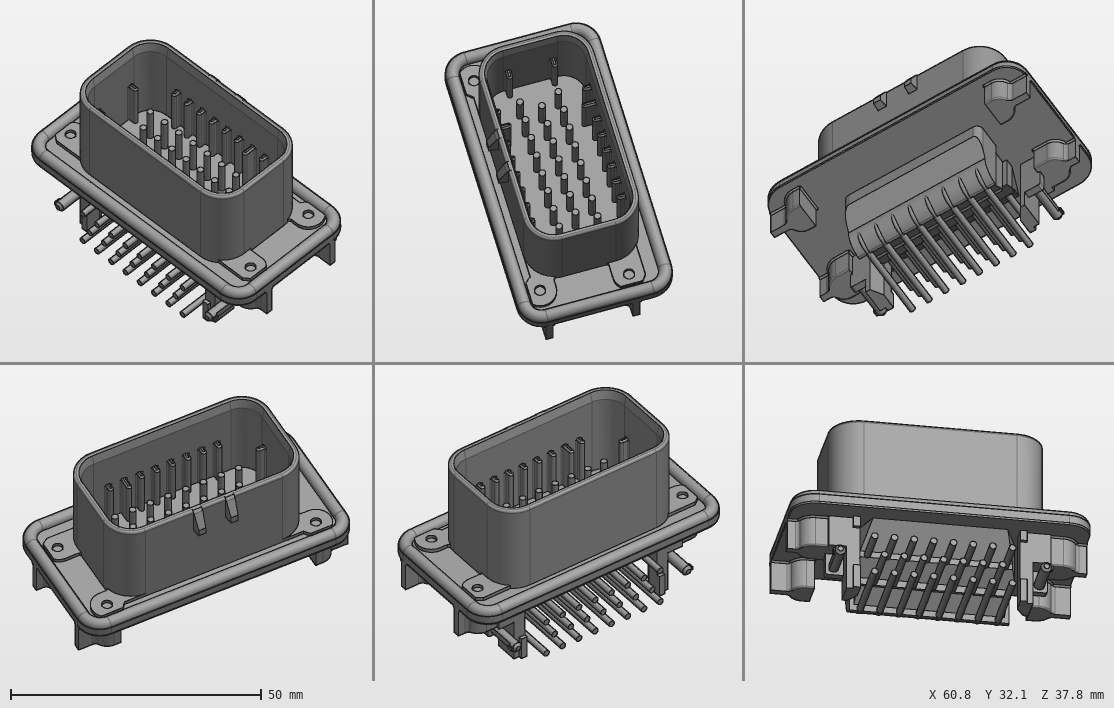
import cadquery as cq
import math

TOTAL_HEIGHT = 37.8
FLANGE_X = 60.8
FLANGE_Y = 32.1
FLANGE_CORNER = 5.05
FLANGE_BOTTOM = -3.4
FLANGE_EDGE_CHAMFER = 0.35
FLANGE_EDGE_INSET = 0.1
FLANGE_FLOOR = -1.35

RIM_RADIUS = 1.35
RIM_INSET = 0.1

SHROUD_X = 43.4
SHROUD_Y = 23.6
SHROUD_CORNER = 6.2
SHROUD_TOP = 18.5
SHROUD_WALL = 1.6
SHROUD_TOP_ROUND = 0.55
MOUTH_FLARE = 0.5
MOUTH_DEPTH = 2.05
CAVITY_FLOOR = -1.35

KEY_RIB_WIDTH = 1.1
KEY_RIB_ROOT_FILLET = 0.3
KEY_RIB_TOP = 8.8
KEY_RIB_CHAMFER = 0.35
KEY_RIB_COUNT = 8
KEY_RIB_ROW_LENGTH = 24.5
KEY_RIB_PITCH = KEY_RIB_ROW_LENGTH / (KEY_RIB_COUNT - 1)
LONG_KEY_RIB_INDEX = 6
SIDE_KEY_RIB_DEPTH = 1.65
LONG_KEY_RIB_DEPTH = 2.85
END_KEY_RIB_DEPTH = 1.8
END_KEY_RIB_Y = 4.7

PIN_RADIUS = 0.65
PIN_TOP = 6.1
PIN_TIP_Y = -15.3
PIN_BEND_RADIUS = 3.05
PINS_PER_ROW = (8, 7, 8)
PIN_ROW_LENGTH = 27.95
PIN_PITCH = PIN_ROW_LENGTH / (max(PINS_PER_ROW) - 1)
FIRST_PIN_ROW_Z = -9.35

LATCH_X = 3.65
LATCH_REACH = 1.95
LATCH_ROOT_WIDTH = 2.0
LATCH_TIP_WIDTH = 1.6
LATCH_STEP_Z = 14.5
LATCH_SHOULDER = 0.3
LATCH_SHOULDER_Z = 17.9
LATCH_CREST_Y = 11.55
LATCH_BOTTOM = 12.9

PAD_TOP = -0.55
PAD_NECK_X = 22.0
REAR_PAD_RADIUS = 3.35
REAR_PAD_BACK_Y = 13.0
REAR_PAD_SHOULDER_X = 21.2
REAR_PAD_SHOULDER_RUN = 1.05
REAR_PAD_NECK_RUN = 1.05
FRONT_PAD_OUTER_X = 27.3
FRONT_PAD_FRONT_Y = -10.45
FRONT_PAD_BACK_Y = -4.0
FRONT_PAD_BEVEL_X = 1.3
FRONT_PAD_BEVEL_Y = 1.0
FRONT_PAD_ARC_X = 2.1
FRONT_PAD_ARC_RADIUS = 2.85
FRONT_PAD_NECK_RUN = 0.5

HOLE_RADIUS = 1.1
HOLE_DEPTH = 0.7
REAR_POST = (23.6, 10.75)
FRONT_POST = (25.2, -7.3)
POST_RADIUS = 3.05
POST_BOTTOM = -10.0
POST_FILLET = 1.0
POST_EDGE_FILLET = 0.3
POST_COLLAR = 0.35
POST_TAIL_X = PAD_NECK_X
POST_RIB_WIDTH = 1.45

BODY_HALF_X = 16.25
BODY_BACK_Y = 6.95
BODY_BACK_CORNER = 1.45
BODY_FRONT_Y = -11.7
BODY_FRONT_HALF_X = 13.7
BODY_TAPER_Y = -5.1
BODY_BOTTOM = -17.95
BACK_SLOPE_TOP = -7.0
BACK_CURVE_START = (4.75, -13.4)
BACK_CURVE_MIDDLE = (3.65, -16.65)
BACK_CURVE_END_Y = 1.35
STEP_HALF_X = 15.25
LOW_STEP_Y = 0.8
LOW_STEP_TOP = -16.6
MIDDLE_STEP_Y = -3.2
MIDDLE_STEP_BOTTOM = -14.05
MIDDLE_STEP_TOP = -12.6
MIDDLE_STEP_LEDGE = 0.6
HIGH_STEP_Y = -7.05
HIGH_STEP_BOTTOM = -9.9
HIGH_STEP_TOP = -8.65

BLADE_BACK_Y = -5.65
BLADE_FRONT_Y = -11.0
BLADE_OUTER_X = 18.9
BLADE_BOTTOM = SHROUD_TOP - TOTAL_HEIGHT
BRACKET_OUTER_X = 22.55
TAB_FRONT_Y = -7.2
TAB_BOTTOM = -14.6
TAB_CORNER = 0.5
BLADE_BEVEL_X = 1.65
BLADE_BEVEL_Y = 2.55
LIP_OUTER_X = 17.65
LIP_FRONT_Y = -11.8
UPPER_LIP_BOTTOM = -5.6
LOWER_LIP_TOP = -14.35

PEG_X = 20.9
PEG_Z = -12.9
PEG_RADIUS = 1.1
PEG_TIP_CHAMFER = 0.55
PEG_FLAT_X = 0.85
PEG_BARB_WIDTH = 0.7
PEG_BARB_REACH = 1.35
PEG_BARB_START_Y = -13.6
PEG_BARB_END_Y = -14.9


def box(x_range, y_range, z_range):
    """Axis-aligned block between the given limits."""
    size = [abs(r[1] - r[0]) for r in (x_range, y_range, z_range)]
    corner = tuple(min(r) for r in (x_range, y_range, z_range))
    return cq.Workplane("XY").box(*size, centered=False).translate(corner)


def rounded_block(size_x, size_y, corner, z_bottom, z_top):
    """Centred upright block with rounded vertical edges."""
    block = cq.Workplane("XY").workplane(offset=z_bottom).rect(size_x, size_y).extrude(z_top - z_bottom)
    return block.edges("|Z").fillet(corner)


def both_sides(solid):
    """The solid together with its mirror image across the YZ plane."""
    return solid.union(solid.mirror("YZ"))


def flange():
    """Plate with a half-round bead standing up along its edge."""
    plate = rounded_block(FLANGE_X, FLANGE_Y, FLANGE_CORNER, FLANGE_BOTTOM, FLANGE_FLOOR)
    plate = plate.faces("<Z").edges().chamfer(FLANGE_EDGE_CHAMFER, FLANGE_EDGE_INSET)
    inset = RIM_INSET + RIM_RADIUS
    guide = rounded_block(FLANGE_X - 2 * inset, FLANGE_Y - 2 * inset, FLANGE_CORNER - inset,
                          FLANGE_FLOOR, 0)
    path = cq.Workplane(guide.faces("<Z").wires().val())
    bead = cq.Workplane("XZ", (inset - FLANGE_X / 2, 0, FLANGE_FLOOR)).circle(RIM_RADIUS).sweep(path)
    return plate.union(bead)


def shroud():
    """Solid outer form of the mating shroud with a rounded top edge."""
    wall = rounded_block(SHROUD_X, SHROUD_Y, SHROUD_CORNER, FLANGE_FLOOR, SHROUD_TOP)
    return wall.faces(">Z").edges().fillet(SHROUD_TOP_ROUND)


def shroud_cavity():
    """Inner space of the shroud, flared at the mouth."""
    inner_x = SHROUD_X - 2 * SHROUD_WALL
    inner_y = SHROUD_Y - 2 * SHROUD_WALL
    inner_corner = SHROUD_CORNER - SHROUD_WALL
    bore = rounded_block(inner_x, inner_y, inner_corner, CAVITY_FLOOR, SHROUD_TOP)
    flare_angle = math.degrees(math.atan2(MOUTH_FLARE, MOUTH_DEPTH))
    mouth = (
        bore.faces(">Z").wires().toPending().workplane().offset2D(MOUTH_FLARE)
        .extrude(-MOUTH_DEPTH, taper=flare_angle, combine=False)
    )
    return bore.union(mouth)


def key_rib(depth):
    """Upright rib reaching +Y from a wall at Y = 0, with a round nose and a bevelled top."""
    embed = SHROUD_WALL / 2
    half = KEY_RIB_WIDTH / 2
    root = KEY_RIB_ROOT_FILLET
    rib = (
        cq.Workplane("XY", (0, 0, CAVITY_FLOOR))
        .moveTo(-half - root, -embed)
        .lineTo(-half - root, 0)
        .radiusArc((-half, root), -root)
        .lineTo(-half, depth - half)
        .threePointArc((0, depth), (half, depth - half))
        .lineTo(half, root)
        .radiusArc((half + root, 0), -root)
        .lineTo(half + root, -embed)
        .close()
        .extrude(KEY_RIB_TOP - CAVITY_FLOOR)
    )
    flanks_and_nose = cq.selectors.BoxSelector((-2 * half, 2 * root, 0),
                                               (2 * half, 2 * depth, 2 * KEY_RIB_TOP))
    return rib.faces(">Z").edges(flanks_and_nose).chamfer(KEY_RIB_CHAMFER)


def key_ribs():
    """Ribs along the long walls, one of them longer, and two on each end wall."""
    inner_half_x = SHROUD_X / 2 - SHROUD_WALL
    inner_half_y = SHROUD_Y / 2 - SHROUD_WALL
    ribs = cq.Workplane("XY")
    for index in range(KEY_RIB_COUNT):
        x = (index - (KEY_RIB_COUNT - 1) / 2) * KEY_RIB_PITCH
        depth = LONG_KEY_RIB_DEPTH if index == LONG_KEY_RIB_INDEX else SIDE_KEY_RIB_DEPTH
        rib = key_rib(depth).translate((x, -inner_half_y, 0))
        ribs = ribs.union(rib).union(rib.mirror("XZ"))
    for y in (-END_KEY_RIB_Y, END_KEY_RIB_Y):
        rib = key_rib(END_KEY_RIB_DEPTH).rotate((0, 0, 0), (0, 0, 1), -90)
        ribs = ribs.union(both_sides(rib.translate((-inner_half_x, y, 0))))
    return ribs


def latches():
    """Pair of wedge-shaped catches near the mouth on the +Y wall."""
    wall_y = SHROUD_Y / 2
    tip_y = wall_y + LATCH_REACH
    root_y = wall_y - SHROUD_WALL / 2
    root = LATCH_ROOT_WIDTH / 2
    tip = LATCH_TIP_WIDTH / 2
    side = (
        cq.Workplane("YZ")
        .polyline([(root_y, LATCH_BOTTOM), (tip_y, LATCH_BOTTOM), (tip_y, LATCH_STEP_Z),
                   (wall_y + LATCH_SHOULDER, LATCH_SHOULDER_Z), (LATCH_CREST_Y, SHROUD_TOP),
                   (root_y, SHROUD_TOP)])
        .close()
        .extrude(root, both=True)
    )
    plan = (
        cq.Workplane("XY")
        .polyline([(-root, root_y), (root, root_y), (root, wall_y), (tip, tip_y), (-tip, tip_y),
                   (-root, wall_y)])
        .close()
        .extrude(SHROUD_TOP)
    )
    return both_sides(side.intersect(plan).translate((LATCH_X, 0, 0)))


def rear_pad():
    """Raised pad with a round outer end, joined to the shroud by a sloped shoulder."""
    x, y = REAR_POST
    radius = REAR_PAD_RADIUS
    root_x = SHROUD_X / 2 - SHROUD_CORNER
    front_y = y - radius
    back_run = math.sqrt(radius ** 2 - (REAR_PAD_BACK_Y - y) ** 2)
    return (
        cq.Workplane("XY", (0, 0, FLANGE_FLOOR))
        .moveTo(root_x, front_y - REAR_PAD_NECK_RUN)
        .lineTo(PAD_NECK_X - REAR_PAD_NECK_RUN, front_y - REAR_PAD_NECK_RUN)
        .lineTo(PAD_NECK_X, front_y)
        .lineTo(x, front_y)
        .threePointArc((x + radius, y), (x + back_run, REAR_PAD_BACK_Y))
        .lineTo(REAR_PAD_SHOULDER_X, REAR_PAD_BACK_Y)
        .lineTo(REAR_PAD_SHOULDER_X - REAR_PAD_SHOULDER_RUN, SHROUD_Y / 2)
        .lineTo(root_x, SHROUD_Y / 2)
        .close()
        .extrude(PAD_TOP - FLANGE_FLOOR)
    )


def front_pad():
    """Raised pad with a straight outer side, one bevelled corner and one eased corner."""
    root_x = SHROUD_X / 2 - SHROUD_CORNER
    neck_y = FRONT_PAD_BACK_Y + FRONT_PAD_NECK_RUN
    return (
        cq.Workplane("XY", (0, 0, FLANGE_FLOOR))
        .moveTo(root_x, FRONT_PAD_FRONT_Y)
        .lineTo(FRONT_PAD_OUTER_X - FRONT_PAD_BEVEL_X, FRONT_PAD_FRONT_Y)
        .lineTo(FRONT_PAD_OUTER_X, FRONT_PAD_FRONT_Y + FRONT_PAD_BEVEL_Y)
        .lineTo(FRONT_PAD_OUTER_X, FRONT_PAD_BACK_Y - FRONT_PAD_BEVEL_Y)
        .radiusArc((FRONT_PAD_OUTER_X - FRONT_PAD_ARC_X, FRONT_PAD_BACK_Y), -FRONT_PAD_ARC_RADIUS)
        .lineTo(PAD_NECK_X, FRONT_PAD_BACK_Y)
        .lineTo(PAD_NECK_X - FRONT_PAD_NECK_RUN, neck_y)
        .lineTo(root_x, neck_y)
        .close()
        .extrude(PAD_TOP - FLANGE_FLOOR)
    )


def pads():
    """Low raised pads around the four holes, running into the shroud."""
    return both_sides(rear_pad().union(front_pad()))


def post(x, y):
    """Boss under the flange, round on its outer side, with a rib out to the flange side."""
    half_rib = POST_RIB_WIDTH / 2
    boss = (
        cq.Workplane("XY", (0, 0, POST_BOTTOM))
        .moveTo(POST_TAIL_X, y - POST_RADIUS)
        .lineTo(x, y - POST_RADIUS)
        .threePointArc((x + POST_RADIUS, y), (x, y + POST_RADIUS))
        .lineTo(POST_TAIL_X, y + POST_RADIUS)
        .close()
        .extrude(FLANGE_BOTTOM - POST_BOTTOM)
    )
    collar = (
        boss.faces(">Z").wires().toPending().workplane().offset2D(POST_COLLAR)
        .extrude(-POST_COLLAR, taper=45, combine=False)
    )
    boss = boss.faces("<Z").edges("not <X").fillet(POST_EDGE_FILLET)

    rib_top = FLANGE_BOTTOM + FLANGE_EDGE_CHAMFER
    rib = box((x, FLANGE_X / 2), (y - half_rib, y + half_rib), (POST_BOTTOM, rib_top))
    root_corners = cq.selectors.BoxSelector((x + POST_RADIUS / 2, y - POST_RIB_WIDTH, POST_BOTTOM),
                                            (x + POST_RADIUS, y + POST_RIB_WIDTH, FLANGE_BOTTOM))
    stem = boss.union(rib).edges("|Z").edges(root_corners).fillet(POST_FILLET)

    flare = half_rib + POST_COLLAR
    rib_collar = (
        cq.Workplane("YZ", (x, y, 0))
        .polyline([(-half_rib, FLANGE_BOTTOM - POST_COLLAR), (half_rib, FLANGE_BOTTOM - POST_COLLAR),
                   (flare, FLANGE_BOTTOM), (flare, rib_top), (-flare, rib_top), (-flare, FLANGE_BOTTOM)])
        .close()
        .extrude(FLANGE_X / 2 - x)
    )
    return stem.union(collar).union(rib_collar)


def posts():
    """The four screw posts."""
    pair = post(*REAR_POST).union(post(*FRONT_POST))
    return both_sides(pair)


def holes():
    """Shallow blind recesses in the pads."""
    drills = (
        cq.Workplane("XY")
        .workplane(offset=PAD_TOP)
        .pushPoints([REAR_POST, FRONT_POST])
        .circle(HOLE_RADIUS)
        .extrude(-HOLE_DEPTH)
    )
    return both_sides(drills)


def body():
    """Stepped block under the flange that carries the bent pins."""
    profile = (
        cq.Workplane("YZ")
        .moveTo(BODY_BACK_Y, FLANGE_BOTTOM)
        .lineTo(BODY_BACK_Y, BACK_SLOPE_TOP)
        .lineTo(*BACK_CURVE_START)
        .threePointArc(BACK_CURVE_MIDDLE, (BACK_CURVE_END_Y, BODY_BOTTOM))
        .lineTo(LOW_STEP_Y, BODY_BOTTOM)
        .lineTo(LOW_STEP_Y, LOW_STEP_TOP)
        .lineTo(MIDDLE_STEP_Y + MIDDLE_STEP_LEDGE, MIDDLE_STEP_BOTTOM)
        .lineTo(MIDDLE_STEP_Y, MIDDLE_STEP_BOTTOM)
        .lineTo(MIDDLE_STEP_Y, MIDDLE_STEP_TOP)
        .lineTo(HIGH_STEP_Y, HIGH_STEP_BOTTOM)
        .lineTo(HIGH_STEP_Y, HIGH_STEP_TOP)
        .lineTo(BODY_FRONT_Y, FLANGE_BOTTOM)
        .close()
        .extrude(BODY_HALF_X, both=True)
    )
    plan = (
        cq.Workplane("XY")
        .workplane(offset=BODY_BOTTOM)
        .polyline([(-BODY_HALF_X, BODY_BACK_Y), (BODY_HALF_X, BODY_BACK_Y), (BODY_HALF_X, BODY_TAPER_Y),
                   (BODY_FRONT_HALF_X, BODY_FRONT_Y), (-BODY_FRONT_HALF_X, BODY_FRONT_Y),
                   (-BODY_HALF_X, BODY_TAPER_Y)])
        .close()
        .extrude(FLANGE_BOTTOM - BODY_BOTTOM)
        .edges("|Z and >Y")
        .fillet(BODY_BACK_CORNER)
    )
    notch = box((STEP_HALF_X, BODY_HALF_X), (MIDDLE_STEP_Y, LOW_STEP_Y), (BODY_BOTTOM, FLANGE_BOTTOM))
    return profile.intersect(plan).cut(both_sides(notch))


def pin(x, y, z):
    """Right-angle pin rising at (x, y) and leaving toward -Y at height z."""
    corner = PIN_BEND_RADIUS * (1 - math.sqrt(0.5))
    path = (
        cq.Workplane("YZ", (x, 0, 0))
        .moveTo(y, PIN_TOP)
        .lineTo(y, z + PIN_BEND_RADIUS)
        .threePointArc((y - corner, z + corner), (y - PIN_BEND_RADIUS, z))
        .lineTo(PIN_TIP_Y, z)
    )
    return cq.Workplane("XY", (x, y, PIN_TOP)).circle(PIN_RADIUS).sweep(path)


def pins():
    """Three staggered rows of pins; the row nearest -Y leaves highest."""
    rows = cq.Workplane("XY")
    for row, count in enumerate(PINS_PER_ROW):
        y = (row - 1) * PIN_PITCH
        z = FIRST_PIN_ROW_Z - row * PIN_PITCH
        for index in range(count):
            x = (index - (count - 1) / 2) * PIN_PITCH
            rows = rows.union(pin(x, y, z))
    return rows


def peg():
    """Locating peg pointing to -Y, flattened on its outer side, with a bevelled tip and a small barb."""
    length = TAB_FRONT_Y - PIN_TIP_Y
    shaft = cq.Workplane("XZ", (PEG_X, TAB_FRONT_Y, PEG_Z)).circle(PEG_RADIUS).extrude(length)
    shaft = shaft.faces("<Y").edges().chamfer(PEG_TIP_CHAMFER)
    flat = box((PEG_X + PEG_FLAT_X, PEG_X + PEG_RADIUS), (TAB_FRONT_Y, PEG_BARB_START_Y),
               (PEG_Z - PEG_RADIUS, PEG_Z + PEG_RADIUS))
    barb = box((PEG_X, PEG_X + PEG_BARB_REACH), (PEG_BARB_START_Y, PEG_BARB_END_Y),
               (PEG_Z - PEG_BARB_WIDTH / 2, PEG_Z + PEG_BARB_WIDTH / 2))
    return shaft.cut(flat).union(barb)


def brackets():
    """Side blades with outer tabs and pegs that fix the part to a board."""
    inner = BODY_HALF_X
    blade = box((inner, BLADE_OUTER_X), (BLADE_FRONT_Y, BLADE_BACK_Y), (BLADE_BOTTOM, FLANGE_BOTTOM))
    shoulder = box((inner, BRACKET_OUTER_X), (BLADE_FRONT_Y, BLADE_BACK_Y), (POST_BOTTOM, FLANGE_BOTTOM))
    tab = box((inner, BRACKET_OUTER_X), (TAB_FRONT_Y, BLADE_BACK_Y), (TAB_BOTTOM, FLANGE_BOTTOM))
    tab = tab.edges("|Y and <Z and >X").fillet(TAB_CORNER)
    upper_lip = box((inner, LIP_OUTER_X), (LIP_FRONT_Y, BLADE_FRONT_Y), (UPPER_LIP_BOTTOM, FLANGE_BOTTOM))
    lower_lip = box((inner, LIP_OUTER_X), (LIP_FRONT_Y, BLADE_FRONT_Y), (BLADE_BOTTOM, LOWER_LIP_TOP))
    bevel = (
        cq.Workplane("XY", (inner, BLADE_BACK_Y, BLADE_BOTTOM))
        .polyline([(0, 0), (BLADE_BEVEL_X, 0), (0, -BLADE_BEVEL_Y)])
        .close()
        .extrude(FLANGE_BOTTOM - BLADE_BOTTOM)
    )
    side = blade.union(shoulder).union(tab).cut(bevel)
    return both_sides(side.union(upper_lip).union(lower_lip).union(peg()))


result = flange().union(pads()).union(shroud()).cut(shroud_cavity()).union(posts()).cut(holes())
result = result.union(body()).union(brackets()).union(key_ribs()).union(latches()).union(pins())